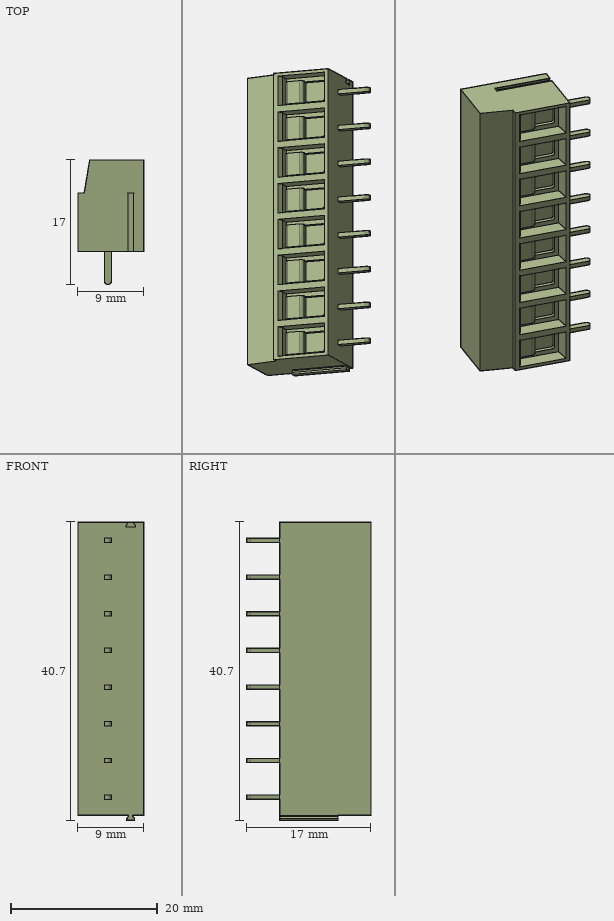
import cadquery as cq
import math


POLES = 8
PITCH = 5.0
ROW_LENGTH = POLES * PITCH
DEPTH = 9.0
HEIGHT = 12.5
SHOULDER_Y = 8.0
SHOULDER_X = 0.85
CREST_X = 1.6

WINDOW_Y_MIN = 0.55
WINDOW_Y_MAX = 7.35
WINDOW_WIDTH = 4.1
WINDOW_DEPTH = 2.15
FLARE_Y = 0.36
FLARE_DEPTH = 0.65
DRAFT_Y = 0.25

PAD_WIDTH = 3.1
PAD_FACE_X = 1.65
PAD_ROUND = 0.37
LIP_RADIUS = 0.6
LIP_ANGLE = math.radians(65)
POCKET_WIDTH = 2.85
POCKET_Y_MIN = 1.43
POCKET_Y_MAX = 4.36
POCKET_FLOOR_X = 2.75
POCKET_CORNER = 0.25

PIN_LENGTH = 4.5
PIN_X = 4.1
PIN_WIDTH = 1.0
PIN_THICKNESS = 0.6

DOVETAIL_X = 7.2
RAIL_HEIGHT = 0.68
RAIL_NECK_WIDTH = 0.6
RAIL_HEAD_WIDTH = 1.1
RAIL_NECK_HEIGHT = 0.12
RAIL_HEAD_HEIGHT = 0.27
GROOVE_DEPTH = 0.68
GROOVE_MOUTH_WIDTH = 0.75
GROOVE_MOUTH_HEIGHT = 0.05
GROOVE_FLOOR_WIDTH = 1.25
GROOVE_FLOOR_HEIGHT = 0.2

OVERLAP = 0.1


def pole_center(index):
    """Z of the middle of one pole."""
    return (index + 0.5) * PITCH


def extrude_across_pole(profile, center_z, width):
    """Extrude a closed XY profile symmetrically about a pole."""
    return profile.extrude(width / 2, both=True).translate((0, 0, center_z))


def make_housing():
    outline = (
        cq.Workplane("XY")
        .moveTo(0, 0)
        .lineTo(DEPTH, 0)
        .lineTo(DEPTH, HEIGHT)
        .lineTo(CREST_X, HEIGHT)
        .lineTo(SHOULDER_X, SHOULDER_Y)
        .lineTo(0, SHOULDER_Y)
        .close()
    )
    return outline.extrude(ROW_LENGTH)


def make_window(center_z):
    """Window with a drafted wall on the pin side and a wall flared at the mouth on the shoulder side."""
    profile = (
        cq.Workplane("XY")
        .moveTo(0, WINDOW_Y_MIN)
        .lineTo(WINDOW_DEPTH, WINDOW_Y_MIN + DRAFT_Y)
        .lineTo(WINDOW_DEPTH, WINDOW_Y_MAX - FLARE_Y)
        .lineTo(FLARE_DEPTH, WINDOW_Y_MAX - FLARE_Y)
        .lineTo(0, WINDOW_Y_MAX)
        .close()
    )
    return extrude_across_pole(profile, center_z, WINDOW_WIDTH)


def make_pad(center_z):
    """Clamp pad with a rounded upper edge and a rolled lip over the wire pocket."""
    pad_top = WINDOW_Y_MAX - FLARE_Y
    lip_start_y = POCKET_Y_MAX + LIP_RADIUS * math.sin(LIP_ANGLE)
    lip_end_x = PAD_FACE_X + LIP_RADIUS * (1 - math.cos(LIP_ANGLE))
    lip_middle = (
        PAD_FACE_X + LIP_RADIUS * (1 - math.cos(LIP_ANGLE / 2)),
        lip_start_y - LIP_RADIUS * math.sin(LIP_ANGLE / 2),
    )
    round_middle = (
        PAD_FACE_X + PAD_ROUND * (1 - math.sqrt(0.5)),
        pad_top - PAD_ROUND * (1 - math.sqrt(0.5)),
    )
    profile = (
        cq.Workplane("XY")
        .moveTo(POCKET_FLOOR_X, pad_top)
        .lineTo(PAD_FACE_X + PAD_ROUND, pad_top)
        .threePointArc(round_middle, (PAD_FACE_X, pad_top - PAD_ROUND))
        .lineTo(PAD_FACE_X, lip_start_y)
        .threePointArc(lip_middle, (lip_end_x, POCKET_Y_MAX))
        .lineTo(POCKET_FLOOR_X, POCKET_Y_MAX)
        .close()
    )
    return extrude_across_pole(profile, center_z, PAD_WIDTH)


def make_pocket(center_z):
    """Wire pocket sunk into the window floor, with rounded corners on the pin side."""
    length = POCKET_Y_MAX - POCKET_Y_MIN
    pocket = cq.Workplane("XY").box(
        POCKET_FLOOR_X - WINDOW_DEPTH + OVERLAP, length, POCKET_WIDTH, centered=(False, False, True)
    )
    pocket = pocket.edges("|X and <Y").fillet(POCKET_CORNER)
    return pocket.translate((WINDOW_DEPTH - OVERLAP, POCKET_Y_MIN, center_z))


def make_pin(center_z):
    """Flat solder pin with a rounded tip, rooted in the housing by one pin width."""
    radius = PIN_WIDTH / 2
    profile = (
        cq.Workplane("XY")
        .moveTo(PIN_X + radius, PIN_WIDTH)
        .lineTo(PIN_X + radius, radius - PIN_LENGTH)
        .threePointArc((PIN_X, -PIN_LENGTH), (PIN_X - radius, radius - PIN_LENGTH))
        .lineTo(PIN_X - radius, PIN_WIDTH)
        .close()
    )
    return extrude_across_pole(profile, center_z, PIN_THICKNESS)


def make_dovetail(neck_width, head_width, height, neck_height, head_height):
    """Dovetail bar hanging from Z = 0, running from the pin side up to the shoulder."""
    neck = neck_width / 2
    head = head_width / 2
    right_side = [
        (neck, OVERLAP),
        (neck, -neck_height),
        (head, head_height - height),
        (head, -height),
    ]
    left_side = [(-x, z) for x, z in reversed(right_side)]
    bar = cq.Workplane("XZ").polyline(right_side + left_side).close().extrude(-SHOULDER_Y)
    return bar.translate((DOVETAIL_X, 0, 0))


result = make_housing()
for pole in range(POLES):
    z = pole_center(pole)
    result = result.cut(make_window(z)).cut(make_pocket(z))
    result = result.union(make_pad(z)).union(make_pin(z))

rail = make_dovetail(RAIL_NECK_WIDTH, RAIL_HEAD_WIDTH, RAIL_HEIGHT, RAIL_NECK_HEIGHT, RAIL_HEAD_HEIGHT)
groove = make_dovetail(
    GROOVE_MOUTH_WIDTH, GROOVE_FLOOR_WIDTH, GROOVE_DEPTH, GROOVE_MOUTH_HEIGHT, GROOVE_FLOOR_HEIGHT
)
result = result.union(rail).cut(groove.translate((0, 0, ROW_LENGTH)))